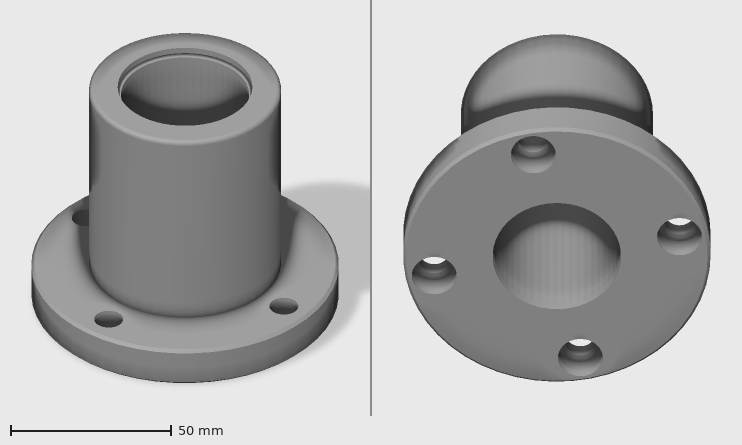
import cadquery as cq

flange_diameter = 96.0
flange_thickness = 13.0
flange_chamfer = 1.0

total_height = 80.0
sleeve_diameter = 60.0
sleeve_top_fillet = 1.4

bore_diameter = 40.0
mouth_diameter = 42.0
mouth_depth = 2.0
groove_diameter = 44.0
groove_width = 1.0

bolt_count = 4
bolt_circle_diameter = 78.0
bolt_hole_diameter = 9.0
counterbore_diameter = 14.0
counterbore_depth = 8.0


def make_flange():
    disc = cq.Workplane("XY").circle(flange_diameter / 2).extrude(flange_thickness)
    return disc.edges().chamfer(flange_chamfer)


def make_sleeve():
    sleeve = cq.Workplane("XY").circle(sleeve_diameter / 2).extrude(total_height)
    return sleeve.faces(">Z").edges().fillet(sleeve_top_fillet)


def make_bore():
    mouth_bottom = total_height - mouth_depth
    groove_bottom = mouth_bottom - groove_width
    bore = cq.Workplane("XY").circle(bore_diameter / 2).extrude(total_height)
    mouth = (
        cq.Workplane("XY", origin=(0, 0, mouth_bottom))
        .circle(mouth_diameter / 2)
        .extrude(mouth_depth)
    )
    groove = (
        cq.Workplane("XY", origin=(0, 0, groove_bottom))
        .circle(groove_diameter / 2)
        .extrude(groove_width)
    )
    return bore.union(mouth).union(groove)


def make_bolt_cutters(diameter, depth):
    """Cylinders on the bolt circle, rising from the mounting face."""
    return (
        cq.Workplane("XY")
        .polarArray(bolt_circle_diameter / 2, 0, 360, bolt_count)
        .circle(diameter / 2)
        .extrude(depth)
    )


result = (
    make_flange()
    .union(make_sleeve())
    .cut(make_bore())
    .cut(make_bolt_cutters(bolt_hole_diameter, flange_thickness))
    .cut(make_bolt_cutters(counterbore_diameter, counterbore_depth))
)